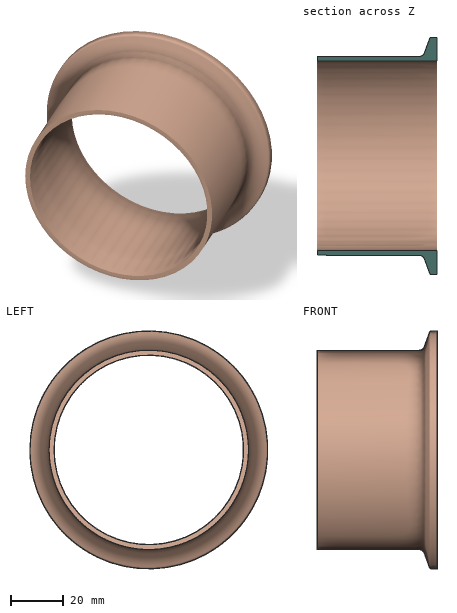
import cadquery as cq
import math

length = 46.0
bore_diameter = 72.3
tube_diameter = 76.3
flange_diameter = 91.0

rim_width = 2.8
taper_angle = 20.0
root_radius = 2.0
rim_radius = 0.9

bore_radius = bore_diameter / 2
tube_radius = tube_diameter / 2
flange_radius = flange_diameter / 2

rim_start = length - rim_width
taper_length = (flange_radius - tube_radius) * math.tan(math.radians(taper_angle))
taper_start = rim_start - taper_length

section = (
    cq.Workplane("XY")
    .moveTo(0, bore_radius)
    .lineTo(0, tube_radius)
    .lineTo(taper_start, tube_radius)
    .lineTo(rim_start, flange_radius)
    .lineTo(length, flange_radius)
    .lineTo(length, bore_radius)
    .close()
)
body = section.revolve(360, (0, 0, 0), (1, 0, 0))


def circle_edge(x, radius):
    """Select the circular edge of the given radius at position x."""
    reach = 0.1
    return cq.selectors.BoxSelector(
        (x - reach, -radius - reach, -radius - reach),
        (x + reach, radius + reach, radius + reach),
        boundingbox=True,
    )


body = body.edges(circle_edge(taper_start, tube_radius)).fillet(root_radius)
body = body.edges(circle_edge(rim_start, flange_radius)).fillet(rim_radius)

result = body.translate((-length / 2, 0, 0))